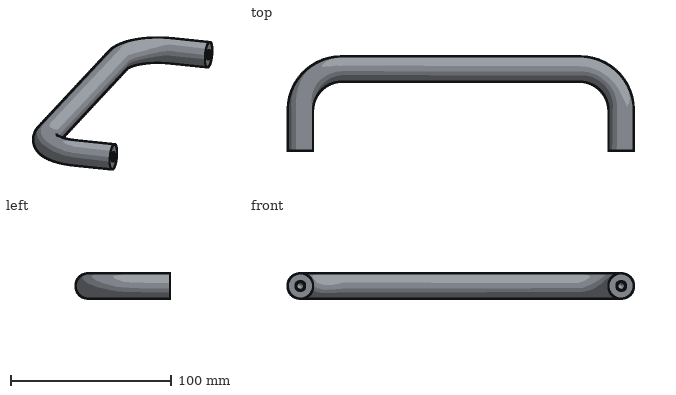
import cadquery as cq
import math

length = 216.0
height = 59.0
bar_diameter = 16.0
bend_radius = 26.0

hole_diameter = 5.0
hole_depth = 13.0
drill_point_angle = 118.0
chamfer_diameter = 6.0

leg_x = (length - bar_diameter) / 2
grip_y = height / 2 - bar_diameter / 2
foot_y = -height / 2
bend_start_y = grip_y - bend_radius
bend_start_x = leg_x - bend_radius


def make_bar():
    """Round bar swept along a U-shaped centreline with tangent bends."""
    centreline = (
        cq.Workplane("XY")
        .moveTo(-leg_x, foot_y)
        .lineTo(-leg_x, bend_start_y)
        .tangentArcPoint((-bend_start_x, grip_y), relative=False)
        .lineTo(bend_start_x, grip_y)
        .tangentArcPoint((leg_x, bend_start_y), relative=False)
        .lineTo(leg_x, foot_y)
    )
    section = cq.Workplane("XZ", origin=(-leg_x, foot_y, 0)).circle(bar_diameter / 2)
    return section.sweep(centreline)


def make_hole(x):
    """Hole with a conical drill point and a 45 degree chamfered mouth."""
    hole_radius = hole_diameter / 2
    mouth_radius = chamfer_diameter / 2
    chamfer_depth = mouth_radius - hole_radius
    point_depth = hole_radius / math.tan(math.radians(drill_point_angle / 2))
    profile = (
        cq.Workplane("XY", origin=(x, foot_y, 0))
        .lineTo(mouth_radius, 0)
        .lineTo(hole_radius, chamfer_depth)
        .lineTo(hole_radius, hole_depth)
        .lineTo(0, hole_depth + point_depth)
        .close()
    )
    return profile.revolve(360, (0, 0, 0), (0, 1, 0))


result = make_bar()
for x in (-leg_x, leg_x):
    result = result.cut(make_hole(x))